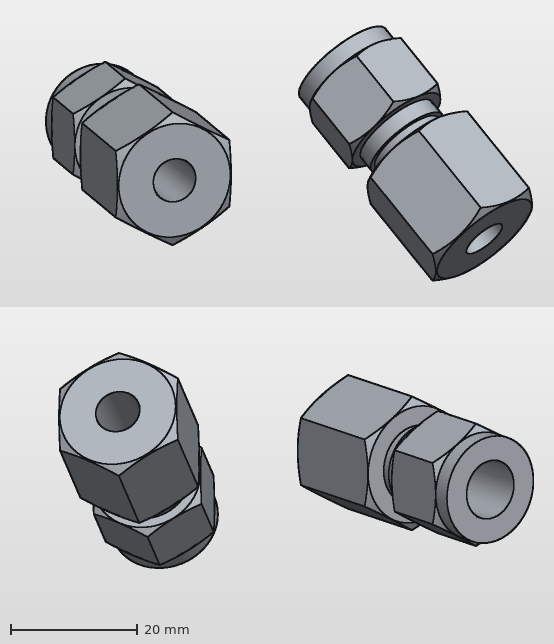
import cadquery as cq
import math


nut_collar_end = 2.9
nut_end = 14.25
shoulder_end = 17.0
body_start = 19.32
body_end = 37.6

nut_flats = 17.45
collar_diameter = 17.4
shoulder_diameter = 14.32
neck_diameter = 12.75
body_flats = 19.05

nut_face_diameter = 17.4
body_inner_face_diameter = 19.0
body_outer_face_diameter = 18.72
chamfer_angle = 30.0

tube_diameter = 9.5
tube_socket_depth = 17.0
bore_diameter = 7.1


def cylinder(diameter, start, end):
    """Solid cylinder on the X axis."""
    return cq.Workplane("YZ").workplane(offset=start).circle(diameter / 2).extrude(end - start)


def chamfered_hexagon(flats, start, end, start_face_diameter, end_face_diameter):
    """Hexagonal prism with corners up and down (Z), conically chamfered at both ends."""
    corner_radius = flats / math.sqrt(3)
    prism = (
        cq.Workplane("YZ")
        .workplane(offset=start)
        .polygon(6, 2 * corner_radius)
        .extrude(end - start)
        .rotate((0, 0, 0), (1, 0, 0), 90)
    )
    slope = math.tan(math.radians(chamfer_angle))
    start_depth = (corner_radius - start_face_diameter / 2) * slope
    end_depth = (corner_radius - end_face_diameter / 2) * slope
    envelope = (
        cq.Workplane("XY")
        .moveTo(start, 0)
        .lineTo(start, start_face_diameter / 2)
        .lineTo(start + start_depth, corner_radius)
        .lineTo(end - end_depth, corner_radius)
        .lineTo(end, end_face_diameter / 2)
        .lineTo(end, 0)
        .close()
        .revolve(360, (0, 0, 0), (1, 0, 0))
    )
    return prism.intersect(envelope)


collar = cylinder(collar_diameter, 0, nut_collar_end)
nut = chamfered_hexagon(nut_flats, nut_collar_end, nut_end, nut_face_diameter, nut_face_diameter)

shoulder = cylinder(shoulder_diameter, nut_end, shoulder_end)
neck = cylinder(neck_diameter, shoulder_end, body_start)

body = chamfered_hexagon(
    body_flats, body_start, body_end, body_inner_face_diameter, body_outer_face_diameter
)

socket = cylinder(tube_diameter, 0, tube_socket_depth)
bore = cylinder(bore_diameter, 0, body_end)

result = collar.union(nut).union(shoulder).union(neck).union(body).cut(socket).cut(bore)